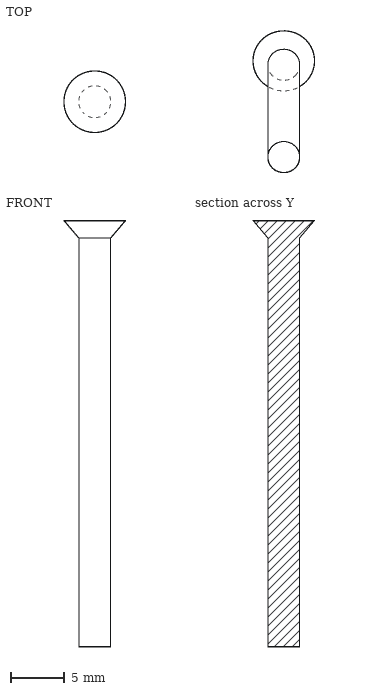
import cadquery as cq

length = 40.0
head_diameter = 5.8
shank_diameter = 3.0
cone_height = 1.65

head_radius = head_diameter / 2
shank_radius = shank_diameter / 2

half_section = (
    cq.Workplane("XZ")
    .lineTo(shank_radius, 0)
    .lineTo(shank_radius, length - cone_height)
    .lineTo(head_radius, length)
    .lineTo(0, length)
    .close()
)
result = half_section.revolve(360, (0, 0, 0), (0, 1, 0))